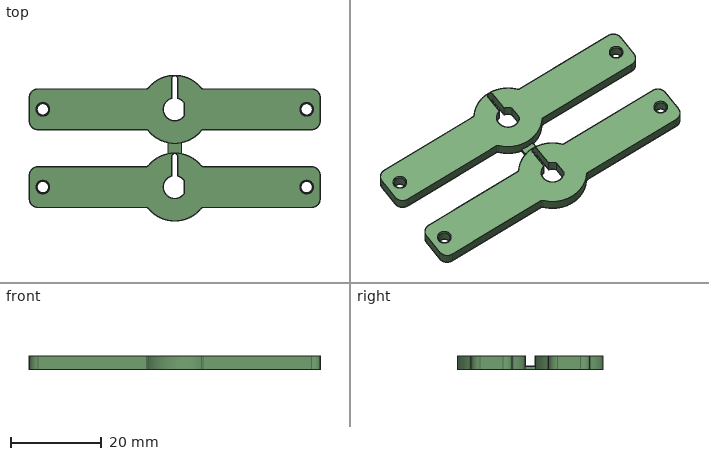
import cadquery as cq

length = 64.0
thickness = 3.0
arm_width = 9.0
corner_radius = 2.0
hub_radius = 7.5
hub_blend_radius = 0.5
pitch = 17.1

shaft_radius = 2.5
shaft_flat_offset = 2.05
slot_width = 1.3
slot_skin = 0.1

hole_diameter = 2.5
hole_rim_diameter = 3.0
countersink_angle = 90.0
hole_inset = 3.0

bridge_width = 3.0
bridge_height = 0.8


def bar_blank():
    """Rounded bar with a round hub, blended where the two meet."""
    arm = cq.Workplane("XY").box(length, arm_width, thickness, centered=(True, True, False))
    arm = arm.edges("|Z").fillet(corner_radius)
    hub = cq.Workplane("XY").circle(hub_radius).extrude(thickness)
    plate = arm.union(hub)
    hub_corners = plate.edges("|Z").filter(lambda edge: abs(edge.Center().x) < hub_radius)
    return hub_corners.fillet(hub_blend_radius)


def shaft_cutter():
    """D-shaped shaft hole with a round-ended slot running toward +Y."""
    shaft = cq.Workplane("XY").circle(shaft_radius).extrude(thickness)
    beyond_flat = cq.Workplane("XY").box(
        shaft_radius, 2 * shaft_radius, thickness, centered=(False, True, False)
    )
    shaft = shaft.cut(beyond_flat.translate((shaft_flat_offset, 0, 0)))

    slot_end = hub_radius - slot_skin
    slot_start = -slot_width / 2
    slot = (
        cq.Workplane("XY")
        .center(0, (slot_start + slot_end) / 2)
        .slot2D(slot_end - slot_start, slot_width, 90)
        .extrude(thickness)
    )
    return shaft.union(slot)


def drill_end_holes(bar):
    """Through holes near both bar ends, chamfered at the top face."""
    hole_x = length / 2 - hole_inset
    return (
        bar.faces(">Z")
        .workplane(origin=(0, 0, thickness))
        .pushPoints([(-hole_x, 0), (hole_x, 0)])
        .cskHole(hole_diameter, hole_rim_diameter, countersink_angle)
    )


bar = drill_end_holes(bar_blank().cut(shaft_cutter()))

rim_overlap = hub_radius - (hub_radius**2 - (bridge_width / 2) ** 2) ** 0.5
bridge_length = pitch - 2 * hub_radius + 2 * rim_overlap
bridge = cq.Workplane("XY").box(
    bridge_width, bridge_length, bridge_height, centered=(True, True, False)
)
bridge = bridge.cut(shaft_cutter().translate((0, -pitch / 2, 0)))

result = bridge
for side in (-1, 1):
    result = result.union(bar.translate((0, side * pitch / 2, 0)))